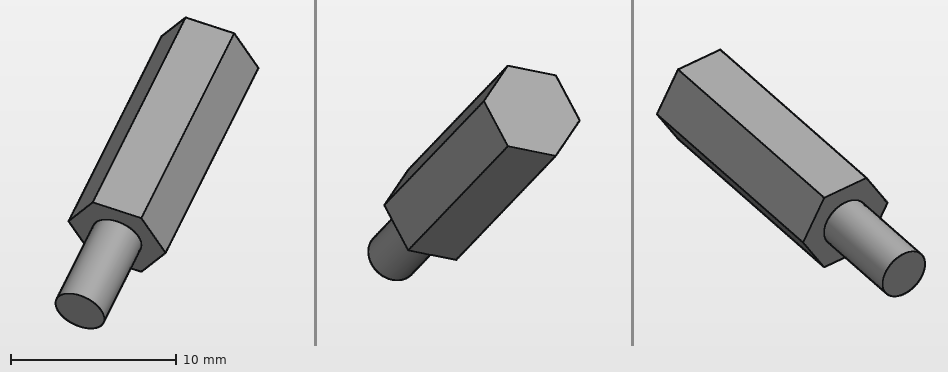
import cadquery as cq
import math

side_count = 6
across_flats = 5.5
body_length = 15.0

stud_diameter = 3.2
stud_length = 6.0

across_corners = across_flats / math.cos(math.pi / side_count)


def make_body():
    """Hexagonal bar from Y = 0 to +Y, with corners on +X and -X."""
    return cq.Workplane("XZ").polygon(side_count, across_corners).extrude(-body_length)


def make_stud():
    """Round stud from Y = 0 towards -Y, coaxial with the body."""
    return cq.Workplane("XZ").circle(stud_diameter / 2).extrude(stud_length)


result = make_body().union(make_stud())